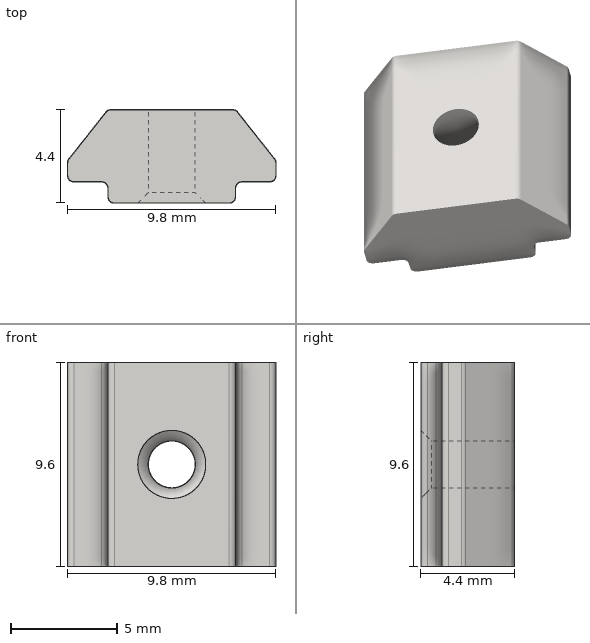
import cadquery as cq

width = 9.8
depth = 4.4
length = 9.6
neck_width = 6.0
neck_depth = 1.0
back_width = 6.0
flange_side_depth = 1.0
edge_radius = 0.3
hole_diameter = 2.2
countersink_diameter = 3.2
countersink_angle = 90.0

front_y = -depth / 2
back_y = depth / 2
shoulder_y = front_y + neck_depth
slope_start_y = shoulder_y + flange_side_depth
half_width = width / 2
half_neck = neck_width / 2
half_back = back_width / 2


def make_body():
    """Extrude the T-slot nut profile and round all its lengthwise edges."""
    right_side = [
        (half_neck, front_y),
        (half_neck, shoulder_y),
        (half_width, shoulder_y),
        (half_width, slope_start_y),
        (half_back, back_y),
    ]
    left_side = [(-x, y) for x, y in reversed(right_side)]
    profile = cq.Workplane("XY").polyline(right_side + left_side).close()
    body = profile.extrude(length / 2, both=True)
    return body.edges("|Z").fillet(edge_radius)


def drill_countersunk_hole(body):
    """Drill through along Y, countersunk on the neck face."""
    neck_face = body.faces("<Y").workplane(centerOption="CenterOfBoundBox")
    return neck_face.cskHole(hole_diameter, countersink_diameter, countersink_angle)


result = drill_countersunk_hole(make_body())